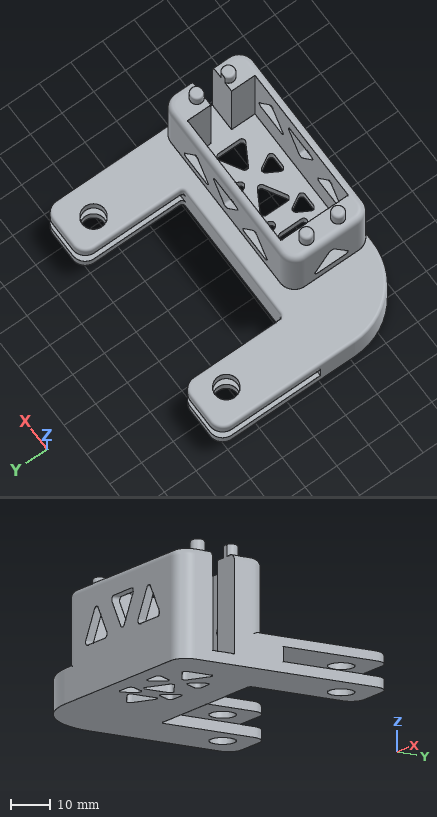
import cadquery as cq
import math

LENGTH = 76.6
DEPTH = 63.0

PLATE_HEIGHT = 9.85
ARM_WIDTH = 16.6
NOTCH_FLOOR_Y = 31.0
BIG_CORNER_RADIUS = 20.0
ARM_TIP_RADIUS = 4.0
NOTCH_CORNER_RADIUS = 1.0
PLATE_EDGE_FILLET = 1.0

FORK_SLOT_HEIGHT = 4.0
FORK_SLOT_Z = (PLATE_HEIGHT - FORK_SLOT_HEIGHT) / 2

HOLE_DIAMETER = 7.0
HOLE_SPACING = 58.0
HOLE_TO_TIP = 9.0
HOLE_Y = DEPTH - HOLE_TO_TIP

BOX_LENGTH = 56.6
BOX_WIDTH = 26.0
BOX_HEIGHT = 29.6
BOX_CORNER_RADIUS = 4.5
BOX_TOP_FILLET = 2.0
BOX_LEFT = LENGTH - BOX_LENGTH
BOX_CENTER_X = BOX_LEFT + BOX_LENGTH / 2
BOX_CENTER_Y = BOX_WIDTH / 2
LEFT_END_THICKNESS = 7.5

FLOOR_THICKNESS = 3.0
CAVITY_LENGTH = 40.7
CAVITY_WIDTH = 21.3
CAVITY_LEFT = BOX_LEFT + LEFT_END_THICKNESS
CAVITY_DEPTH = BOX_HEIGHT - FLOOR_THICKNESS
CABLE_SLOT_WIDTH = 6.5

PIN_DIAMETER = 3.9
PIN_SPACING_Y = 10.0
PIN_ROOT_DEPTH = 2.0
LEFT_PIN_INSET = 4.1
LEFT_PIN_X = BOX_LEFT + LEFT_PIN_INSET
LEFT_PIN_HEIGHT = 4.0
LEFT_PIN_FILLET = 0.95
RIGHT_PIN_INSET = 4.6
RIGHT_PIN_X = LENGTH - RIGHT_PIN_INSET
RIGHT_PIN_HEIGHT = 3.4
RIGHT_PIN_FILLET = 0.7

WINDOW_CORNER_RADIUS = 1.0
WALL_WINDOW_DIAMETER = 13.8
WALL_WINDOW_SPACING = 12.8
WALL_WINDOW_BASE_Z = 13.1
INVERTED_WINDOW_BASE_Z = 23.5
FLOOR_WINDOW_DIAMETER = 11.7
SMALL_WINDOW_DIAMETER = 8.2
SMALL_WINDOW_BASE_OFFSET = 8.05
SMALL_WINDOW_XS = (40.9, 54.3)
LEFT_POINTING_BASE_XS = (37.8, 64.8)
RIGHT_POINTING_BASE_X = 43.9


def make_plate():
    plate = cq.Workplane("XY").box(LENGTH, DEPTH, PLATE_HEIGHT, centered=False)
    notch = (
        cq.Workplane("XY")
        .box(LENGTH - 2 * ARM_WIDTH, DEPTH - NOTCH_FLOOR_Y, PLATE_HEIGHT, centered=False)
        .edges("|Z and <Y")
        .fillet(NOTCH_CORNER_RADIUS)
        .translate((ARM_WIDTH, NOTCH_FLOOR_Y, 0))
    )
    plate = plate.cut(notch)
    plate = plate.edges("|Z and >Y").fillet(ARM_TIP_RADIUS)
    plate = plate.edges("|Z and <X and <Y").fillet(BIG_CORNER_RADIUS)
    plate = plate.edges("|Z and >X and <Y").fillet(BOX_CORNER_RADIUS)
    return plate.faces(">Z").edges().fillet(PLATE_EDGE_FILLET)


def make_box():
    return (
        cq.Workplane("XY")
        .box(BOX_LENGTH, BOX_WIDTH, BOX_HEIGHT, centered=False)
        .edges("|Z")
        .fillet(BOX_CORNER_RADIUS)
        .faces(">Z")
        .edges()
        .fillet(BOX_TOP_FILLET)
        .translate((BOX_LEFT, 0, 0))
    )


def make_pins(x, height, tip_fillet):
    """Two round-tipped pins at the given X, rooted inside the box so that they fuse with it."""
    return (
        cq.Workplane("XY", origin=(x, BOX_CENTER_Y, BOX_HEIGHT - PIN_ROOT_DEPTH))
        .rarray(1, PIN_SPACING_Y, 1, 2)
        .circle(PIN_DIAMETER / 2)
        .extrude(PIN_ROOT_DEPTH + height)
        .faces(">Z")
        .edges()
        .fillet(tip_fillet)
    )


def cut_fork_slots(part):
    slot = cq.Workplane("XY").box(
        LENGTH, DEPTH - NOTCH_FLOOR_Y, FORK_SLOT_HEIGHT, centered=False
    )
    return part.cut(slot.translate((0, NOTCH_FLOOR_Y, FORK_SLOT_Z)))


def cut_mounting_holes(part):
    holes = (
        cq.Workplane("XY", origin=(LENGTH / 2, HOLE_Y, 0))
        .rarray(HOLE_SPACING, 1, 2, 1)
        .circle(HOLE_DIAMETER / 2)
        .extrude(PLATE_HEIGHT)
    )
    return part.cut(holes)


def cut_cavity(part):
    cavity = cq.Workplane("XY").box(
        CAVITY_LENGTH, CAVITY_WIDTH, CAVITY_DEPTH, centered=(False, True, False)
    )
    cable_slot = cq.Workplane("XY").box(
        LENGTH - CAVITY_LEFT,
        CABLE_SLOT_WIDTH,
        CAVITY_DEPTH + RIGHT_PIN_HEIGHT,
        centered=(False, True, False),
    )
    corner = (CAVITY_LEFT, BOX_CENTER_Y, FLOOR_THICKNESS)
    return part.cut(cavity.union(cable_slot).translate(corner))


def window_prism(plane, base_center, point_angle, diameter, length):
    """Rounded triangular prism extruded along the plane normal.

    base_center is the middle of the flat side, in plane coordinates;
    point_angle is the direction from that side to the opposite corner.
    """
    half_side = diameter * math.sqrt(3) / 4
    height = diameter * 3 / 4
    prism = (
        cq.Workplane("XY")
        .polyline([(0, -half_side), (height, 0), (0, half_side)])
        .close()
        .extrude(length)
        .edges("|Z")
        .fillet(WINDOW_CORNER_RADIUS)
        .rotate((0, 0, 0), (0, 0, 1), point_angle)
        .translate((base_center[0], base_center[1], 0))
    )
    return cq.Workplane(prism.val().moved(cq.Plane.named(plane).location))


def cut_wall_windows(part):
    """Three windows through the front and back walls and one through the left end."""
    windows = (
        (-WALL_WINDOW_SPACING, WALL_WINDOW_BASE_Z, 90),
        (0, INVERTED_WINDOW_BASE_Z, -90),
        (WALL_WINDOW_SPACING, WALL_WINDOW_BASE_Z, 90),
    )
    for offset, base_z, angle in windows:
        base = (BOX_CENTER_X + offset, base_z)
        part = part.cut(window_prism("XZ", base, angle, WALL_WINDOW_DIAMETER, -BOX_WIDTH))
    base = (BOX_CENTER_Y, WALL_WINDOW_BASE_Z)
    return part.cut(window_prism("YZ", base, 90, WALL_WINDOW_DIAMETER, CAVITY_LEFT))


def cut_floor_windows(part):
    def cut_one(body, base, angle, diameter):
        return body.cut(window_prism("XY", base, angle, diameter, FLOOR_THICKNESS))

    for x in LEFT_POINTING_BASE_XS:
        part = cut_one(part, (x, BOX_CENTER_Y), 180, FLOOR_WINDOW_DIAMETER)
    part = cut_one(part, (RIGHT_POINTING_BASE_X, BOX_CENTER_Y), 0, FLOOR_WINDOW_DIAMETER)
    for x in SMALL_WINDOW_XS:
        for side in (-1, 1):
            base = (x, BOX_CENTER_Y + side * SMALL_WINDOW_BASE_OFFSET)
            part = cut_one(part, base, -90 * side, SMALL_WINDOW_DIAMETER)
    return part


servo_box = make_box()
body = make_plate().cut(servo_box).union(servo_box)
body = body.union(make_pins(LEFT_PIN_X, LEFT_PIN_HEIGHT, LEFT_PIN_FILLET))
body = body.union(make_pins(RIGHT_PIN_X, RIGHT_PIN_HEIGHT, RIGHT_PIN_FILLET))
body = cut_fork_slots(body)
body = cut_mounting_holes(body)
body = cut_cavity(body)
body = cut_wall_windows(body)
result = cut_floor_windows(body)